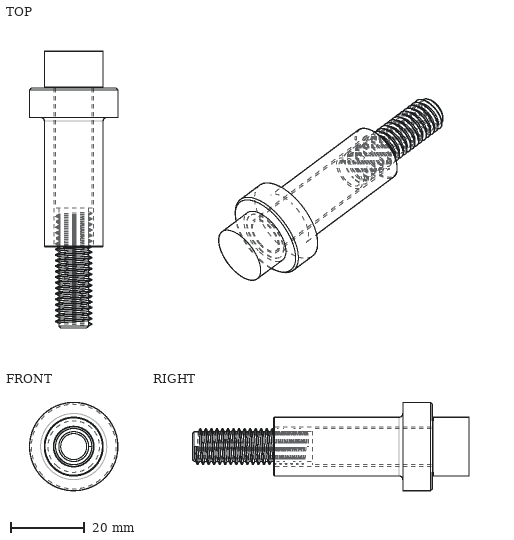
import cadquery as cq
import math

overall_length = 75.0
tip_y = -overall_length / 2

collar_diameter = 24.0
collar_length = 8.0
collar_chamfer = 0.5
tube_diameter = 16.0
tube_length = 35.0
tube_edge_chamfer = 0.2
collar_fillet = 1.0
bore_diameter = 10.7
bore_edge_chamfer = 0.15

head_diameter = tube_diameter
head_length = 10.0
washer_face_diameter = 13.95
washer_face_thickness = 0.19
shank_diameter = 9.8
core_diameter = 8.1
tip_chamfer = 0.5

thread_pitch = 1.5
thread_crest_width = 0.15
thread_root_width = 1.0
thread_start = 1.05
thread_turns = 20
root_overlap = 0.1

head_y = tip_y + overall_length - head_length
tube_end_y = head_y - collar_length - tube_length
shank_y = tip_y + thread_start + (thread_turns + 1) * thread_pitch


def cylinder(diameter, start_y, end_y):
    """A cylinder on the Y axis from start_y up to end_y."""
    workplane = cq.Workplane("XZ", origin=(0, start_y, 0))
    return workplane.circle(diameter / 2).extrude(start_y - end_y)


def make_sleeve():
    """Collared tube with a clearance bore, chamfered at the tube end, right through it."""
    collar_y = head_y - collar_length
    tube = cylinder(tube_diameter, tube_end_y, head_y).faces("<Y").chamfer(tube_edge_chamfer)
    collar = cylinder(collar_diameter, collar_y, head_y).faces(">Y").chamfer(collar_chamfer)
    sleeve = tube.union(collar)
    inner_corner = cq.selectors.BoxSelector(
        (-tube_diameter, collar_y - collar_fillet / 2, -tube_diameter),
        (tube_diameter, collar_y + collar_fillet / 2, tube_diameter),
    )
    inner_radius = tube_diameter / 2
    corner_edges = sleeve.edges(inner_corner).filter(
        lambda edge: edge.geomType() == "CIRCLE" and math.isclose(edge.radius(), inner_radius)
    )
    sleeve = corner_edges.fillet(collar_fillet)
    sleeve = sleeve.cut(cylinder(bore_diameter, tube_end_y, head_y))
    bore_rim = sleeve.faces("<Y").wires().edges(cq.selectors.RadiusNthSelector(0))
    return bore_rim.chamfer(bore_edge_chamfer)


def make_thread():
    """Right-handed thread ridge, its root sunk a little into the core."""
    core_radius = core_diameter / 2
    crest_radius = shank_diameter / 2
    flank_slope = (thread_root_width - thread_crest_width) / 2 / (crest_radius - core_radius)
    half_crest = thread_crest_width / 2
    half_root = thread_root_width / 2 + root_overlap * flank_slope
    root_radius = core_radius - root_overlap
    path = cq.Wire.makeHelix(thread_pitch, thread_turns * thread_pitch, core_radius)
    profile = cq.Workplane("XZ").polyline([
        (root_radius, -half_root),
        (crest_radius, -half_crest),
        (crest_radius, half_crest),
        (root_radius, half_root),
    ]).close()
    ridge = profile.sweep(cq.Workplane(path), isFrenet=True)
    return ridge.rotate((0, 0, 0), (1, 0, 0), -90).translate((0, tip_y + thread_start, 0))


def make_screw():
    """Cylindrical head on a thin washer face, plain shank and threaded end with a chamfered tip."""
    head_underside_y = head_y + washer_face_thickness
    core = cylinder(core_diameter, tip_y, shank_y).faces("<Y").chamfer(tip_chamfer)
    shank = cylinder(shank_diameter, shank_y, head_y)
    washer_face = cylinder(washer_face_diameter, head_y, head_underside_y)
    head = cylinder(head_diameter, head_underside_y, head_y + head_length)
    return core.union(make_thread()).union(shank).union(washer_face).union(head)


sleeve = make_sleeve()
screw = make_screw()

result = cq.Compound.makeCompound([sleeve.val(), screw.val()])